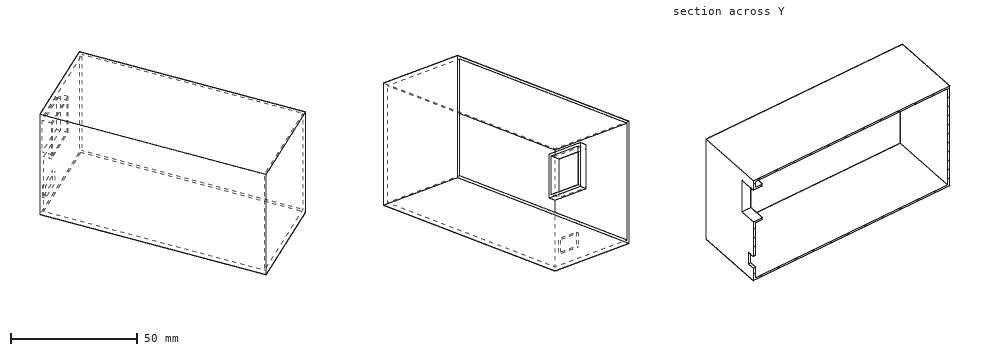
import cadquery as cq

length = 97.0
depth = 41.3
height = 52.4

wall = 1.2

window_offset = 2 * wall
window_width = 15.0
window_bottom = 30.8
window_height = 16.5
port_offset = 3.0
port_width = 10.1
port_bottom = 6.6
port_height = 6.0

collar_depth = 4.5
collar_wall = wall


def corner_box(x, y, z, size_x, size_y, size_z):
    """Box placed by its lowest corner, measured from the enclosure's lowest corner."""
    box = cq.Workplane("XY").box(size_x, size_y, size_z, centered=False)
    return box.translate((x - length / 2, y - depth / 2, z - height / 2))


body = corner_box(0, 0, 0, length, depth, height)
cavity = corner_box(wall, wall, wall, length - 2 * wall, depth - wall, height - 2 * wall)
shell = body.cut(cavity)

collar = corner_box(
    0,
    window_offset - collar_wall,
    window_bottom - collar_wall,
    collar_depth,
    window_width + 2 * collar_wall,
    window_height + 2 * collar_wall,
)

window = corner_box(0, window_offset, window_bottom, collar_depth, window_width, window_height)
port = corner_box(0, port_offset, port_bottom, wall, port_width, port_height)

result = shell.union(collar).cut(window).cut(port)